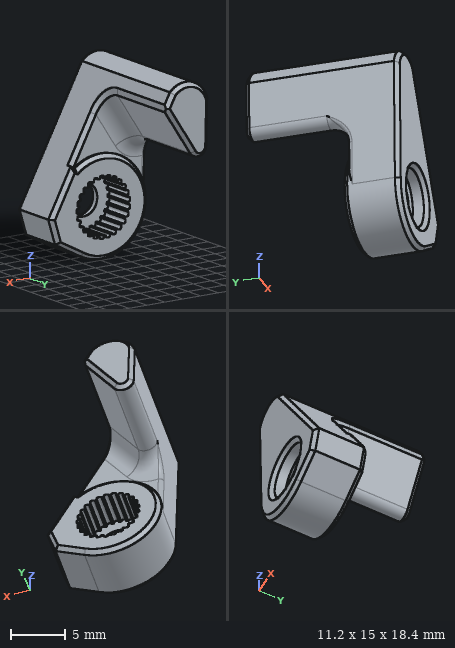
import cadquery as cq
import math


tilt = 14.75
arm_length = 11.24
hub_radius = 5.0
tip_radius = 2.5
tip_shoulder_angle = 30.0
corner_cut = 1.85
edge_chamfer = 0.42

total_depth = 15.0
web_depth = 5.0
hub_depth = 5.5

underside_slope = 42.0
underside_start_z = 10.87
heel_radius = 1.0
root_fillet = 2.0
web_edge_ease = 0.42
hub_pad_reach = 2.15

screw_diameter = 3.2
head_diameter = 5.5
head_depth = 1.5
screw_seat_thickness = 0.7
spline_teeth = 25
spline_minor_diameter = 5.5
spline_groove_radius = 0.25

overshoot = 20.0

shoulder_x = tip_radius * math.cos(math.radians(tip_shoulder_angle))
shoulder_z = arm_length + tip_radius * math.sin(math.radians(tip_shoulder_angle))
shoulder_distance = math.hypot(shoulder_x, shoulder_z)
flank_angle = math.atan2(shoulder_z, shoulder_x) - math.acos(hub_radius / shoulder_distance)
corner_side = hub_radius - corner_cut


def step(point, distance, angle):
    """Point reached from another by a distance along an angle in radians."""
    return (point[0] + distance * math.cos(angle), point[1] + distance * math.sin(angle))


def in_corner_frame(across, along):
    """Point given across and along the right flank, measured from the pivot."""
    return step(step((0, 0), across, flank_angle), along, flank_angle + math.pi / 2)


def flank_x(z):
    """Distance from the arm axis to either flank at a height above the pivot."""
    return (hub_radius - z * math.sin(flank_angle)) / math.cos(flank_angle)


def prism(outline, start, end):
    """Solid with an XZ outline between two depths."""
    return outline.extrude(start - end).translate((0, start, 0))


def cylinder(diameter, start, end):
    """Round solid about the pivot axis between two depths."""
    return prism(cq.Workplane("XZ").circle(diameter / 2), start, end)


def chamfered_slab(outline):
    """Full-depth slab with both end faces chamfered all round."""
    return prism(outline, 0, total_depth).faces("<Y or >Y").chamfer(edge_chamfer)


def flanked_hub():
    """Hub, cut-off corner and both flanks, running on above the tip."""
    above_tip = shoulder_z + tip_radius
    hub_lower_left = step((0, 0), hub_radius, math.radians(225))
    hub_left_tangent = step((0, 0), hub_radius, math.pi - flank_angle)
    outline = (
        cq.Workplane("XZ")
        .moveTo(-flank_x(above_tip), above_tip)
        .lineTo(flank_x(above_tip), above_tip)
        .lineTo(*in_corner_frame(hub_radius, -corner_side))
        .lineTo(*in_corner_frame(corner_side, -hub_radius))
        .lineTo(*in_corner_frame(0, -hub_radius))
        .threePointArc(hub_lower_left, hub_left_tangent)
        .close()
    )
    return chamfered_slab(outline)


def tip_envelope():
    """Round tip, flaring below its shoulders along the tangents of the tip circle."""
    floor_z = -overshoot
    floor_x = shoulder_x + (shoulder_z - floor_z) * math.tan(math.radians(tip_shoulder_angle))
    outline = (
        cq.Workplane("XZ")
        .moveTo(-shoulder_x, shoulder_z)
        .threePointArc((0, arm_length + tip_radius), (shoulder_x, shoulder_z))
        .lineTo(floor_x, floor_z)
        .lineTo(-floor_x, floor_z)
        .close()
    )
    return chamfered_slab(outline)


slope = math.radians(underside_slope)
left_flank_direction = math.pi / 2 - flank_angle
heel_half_angle = (left_flank_direction - slope) / 2

underside_start = (flank_x(underside_start_z), underside_start_z)
underside_run = (underside_start[0] * math.cos(flank_angle) - underside_start[1] * math.sin(flank_angle)
                 + hub_radius) / math.cos(slope + flank_angle)
sharp_heel = step(underside_start, -underside_run, slope)
heel_setback = heel_radius / math.tan(heel_half_angle)
heel_centre = step(sharp_heel, heel_radius / math.sin(heel_half_angle), slope + heel_half_angle)
heel_bottom = step(heel_centre, -heel_radius, slope + heel_half_angle)
heel_on_flank = step(sharp_heel, heel_setback, left_flank_direction)
heel_on_slope = step(sharp_heel, heel_setback, slope)


def below_finger():
    """Outline of everything below the finger's underside."""
    return (
        cq.Workplane("XZ")
        .moveTo(*step(underside_start, overshoot, slope))
        .lineTo(*heel_on_slope)
        .threePointArc(heel_bottom, heel_on_flank)
        .lineTo(-overshoot, heel_on_flank[1])
        .lineTo(-overshoot, -overshoot)
        .lineTo(overshoot, -overshoot)
        .close()
    )


def web_relief():
    """Space behind the web, rounded where the web runs into the finger."""
    heel_edge = cq.selectors.NearestToPointSelector((heel_bottom[0], web_depth, heel_bottom[1]))
    relief = prism(below_finger(), web_depth, total_depth + overshoot)
    return relief.edges(heel_edge).fillet(root_fillet)


def underside_chamfer():
    """Flared cut that bevels the underside at the back end of the finger."""
    flare = below_finger().extrude(-2 * edge_chamfer, taper=-45)
    return flare.translate((0, total_depth - edge_chamfer, 0))


def ease_web_edges(body):
    """Round the left back edge of the web and bevel the right one, up into the finger."""
    edge_z = hub_radius * math.sin(flank_angle) + hub_pad_reach
    left_edge = cq.selectors.NearestToPointSelector((-flank_x(edge_z), web_depth, edge_z))
    right_edge = cq.selectors.NearestToPointSelector((flank_x(edge_z), web_depth, edge_z))
    bevelled = body.edges(right_edge).chamfer(web_edge_ease)
    return bevelled.edges(left_edge).fillet(web_edge_ease)


def hub_pad():
    """Raised back of the hub: the hub circle and its cut-off square corner."""
    corner = (
        cq.Workplane("XZ")
        .moveTo(*in_corner_frame(0, hub_pad_reach))
        .lineTo(*in_corner_frame(hub_radius, hub_pad_reach))
        .lineTo(*in_corner_frame(hub_radius, -corner_side))
        .lineTo(*in_corner_frame(corner_side, -hub_radius))
        .lineTo(*in_corner_frame(0, -hub_radius))
        .close()
    )
    pad = prism(corner, 0, hub_depth).union(cylinder(2 * hub_radius, 0, hub_depth))
    return pad.faces("<Y or >Y").chamfer(edge_chamfer)


def above_hub():
    """Half space above the height where the left flank leaves the hub circle."""
    tangent_z = hub_radius * math.sin(flank_angle)
    return cq.Workplane("XY").box(4 * overshoot, 4 * overshoot, overshoot, (True, True, False)).translate((0, 0, tangent_z))


def lever_body():
    """Lever with its finger, web and raised hub, before the bores."""
    blank = flanked_hub().intersect(tip_envelope())
    arm = ease_web_edges(blank.cut(web_relief()).intersect(above_hub()))
    return arm.cut(underside_chamfer()).union(hub_pad())


def screw_hole():
    """Screw hole with a chamfered, sunk seat for the head."""
    mouth = (
        cq.Workplane("XZ")
        .circle(head_diameter / 2 + edge_chamfer)
        .workplane(offset=-edge_chamfer)
        .circle(head_diameter / 2)
        .loft()
    )
    head = cylinder(head_diameter, 0, head_depth)
    return cylinder(screw_diameter, 0, hub_depth).union(head).union(mouth)


def spline_socket():
    """Socket at the back with evenly spaced round grooves."""
    floor = head_depth + screw_seat_thickness
    grooves = (
        cq.Workplane("XZ")
        .polarArray(spline_minor_diameter / 2, 0, 360, spline_teeth)
        .circle(spline_groove_radius)
    )
    return cylinder(spline_minor_diameter, floor, hub_depth).union(prism(grooves, floor, hub_depth))


lever = lever_body().cut(screw_hole()).cut(spline_socket())
result = lever.rotate((0, 0, 0), (0, 1, 0), -tilt)